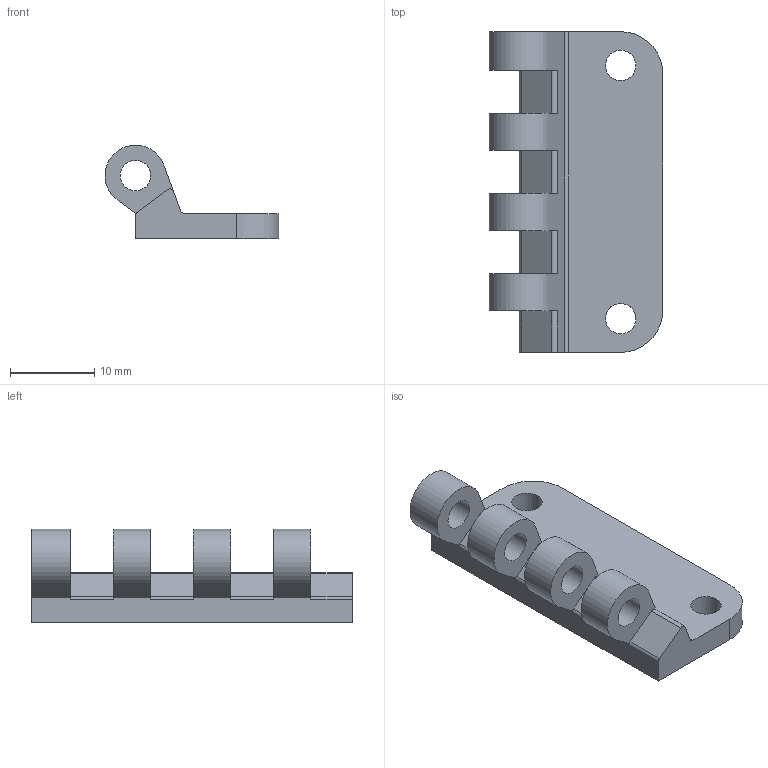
import cadquery as cq
import math

plate_width = 17.0
plate_length = 38.0
plate_thickness = 3.0
corner_radius = 5.0

screw_hole_diameter = 3.6
screw_hole_x = 12.0
screw_hole_end_distance = 4.0

pin_height = 7.5
knuckle_radius = 3.6
pin_hole_diameter = 3.6
knuckle_count = 4
side_clearance = 0.175

slope_from_vertical = math.radians(20)

edge_radius = 0.5

half_length = plate_length / 2
knuckle_pitch = plate_length / knuckle_count
gap_nominal = knuckle_pitch / 2

pin_above_plate = pin_height - plate_thickness
underside_angle = math.acos(knuckle_radius / pin_above_plate)
underside_tangent = (
    -knuckle_radius * math.sin(underside_angle),
    pin_height - knuckle_radius * math.cos(underside_angle),
)

slope_tangent = (
    knuckle_radius * math.cos(slope_from_vertical),
    pin_height + knuckle_radius * math.sin(slope_from_vertical),
)
slope_run = math.tan(slope_from_vertical)
slope_foot_x = slope_tangent[0] + (slope_tangent[1] - plate_thickness) * slope_run

saddle_rise = math.tan(underside_angle)
crest_x = slope_foot_x / (1 + saddle_rise * slope_run)
crest_z = plate_thickness + crest_x * saddle_rise


def section_plane(y_end):
    """XZ workplane at y_end whose extrusions run towards -Y."""
    return cq.Workplane("XZ", origin=(0, y_end, 0))


def make_leaf():
    """Plate with the triangular saddle ridge along its hinge edge."""
    outline = [
        (0, 0),
        (plate_width, 0),
        (plate_width, plate_thickness),
        (slope_foot_x, plate_thickness),
        (crest_x, crest_z),
        (0, plate_thickness),
    ]
    leaf = section_plane(half_length).polyline(outline).close().extrude(plate_length)
    return leaf.edges("|Z and >X").fillet(corner_radius)


def round_ridge(leaf):
    """Round the saddle's lower edge and crest, and fillet the foot of the slope."""
    edge_points = [
        (0, plate_thickness),
        (crest_x, crest_z),
        (slope_foot_x, plate_thickness),
    ]
    for x, z in edge_points:
        nearest_edge = cq.selectors.NearestToPointSelector((x, 0, z))
        leaf = leaf.edges(nearest_edge).fillet(edge_radius)
    return leaf


def make_knuckle(y_start, y_end):
    """Barrel and its sharp-edged root, which reaches down to the underside of the plate."""
    return (
        section_plane(y_end)
        .moveTo(0, 0)
        .lineTo(0, plate_thickness)
        .lineTo(*underside_tangent)
        .threePointArc((0, pin_height + knuckle_radius), slope_tangent)
        .lineTo(slope_foot_x, plate_thickness)
        .lineTo(slope_foot_x, 0)
        .close()
        .extrude(y_end - y_start)
    )


def add_knuckles(leaf):
    for index in range(knuckle_count):
        pitch_end = half_length - index * knuckle_pitch
        y_start = pitch_end - gap_nominal + side_clearance
        y_end = pitch_end if index == 0 else pitch_end - side_clearance
        leaf = leaf.union(make_knuckle(y_start, y_end))
    return leaf


def cut_pin_hole(leaf):
    bore = (
        section_plane(half_length)
        .center(0, pin_height)
        .circle(pin_hole_diameter / 2)
        .extrude(plate_length)
    )
    return leaf.cut(bore)


def cut_screw_holes(leaf):
    screw_hole_y = half_length - screw_hole_end_distance
    drills = (
        cq.Workplane("XY")
        .pushPoints([(screw_hole_x, -screw_hole_y), (screw_hole_x, screw_hole_y)])
        .circle(screw_hole_diameter / 2)
        .extrude(plate_thickness)
    )
    return leaf.cut(drills)


leaf = round_ridge(make_leaf())
leaf = add_knuckles(leaf)
leaf = cut_pin_hole(leaf)
result = cut_screw_holes(leaf).clean()